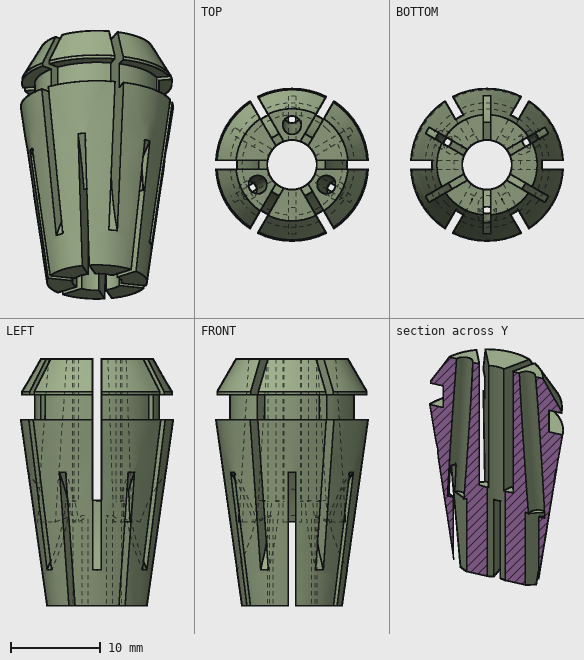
import cadquery as cq
import math

LENGTH = 27.5
SMALL_END_RADIUS = 5.58
SHOULDER_RADIUS = 8.5
SHOULDER_HEIGHT = 20.74
BORE_RADIUS = 2.75

GROOVE_RADIUS = 6.93
LIP_RADIUS = 8.35
LIP_BOTTOM = 23.48
LIP_TOP = 23.85
NOSE_RADIUS = 6.25

SLOTS_PER_END = 6
SLOT_PITCH = 360 / SLOTS_PER_END
SAW_RADIUS = 22.0
NOSE_SLOT_ROOT_RADIUS = 3.7
TAIL_SLOT_ROOT_RADIUS = 4.73
NOSE_SLOT_WIDTH = 1.0
NOSE_SLOT_OUTER_HEIGHT = 4.0
NOSE_SLOT_ROOT_HEIGHT = 11.77
TAIL_SLOT_WIDTH = 0.8
TAIL_SLOT_OUTER_HEIGHT = 14.88
TAIL_SLOT_ROOT_HEIGHT = 9.35

HOLE_COUNT = 3
FIRST_HOLE_ANGLE = 90
HOLE_RADIUS = 1.02
HOLE_TOP_OFFSET = 4.4
HOLE_BOTTOM_OFFSET = 5.7
HOLE_BOTTOM = 9.35

CLEARANCE = 1.38


def taper_radius(height):
    """Outer radius of the long taper at a given height."""
    return SMALL_END_RADIUS + (SHOULDER_RADIUS - SMALL_END_RADIUS) * height / SHOULDER_HEIGHT


def turned_body():
    outline = [
        (BORE_RADIUS, 0),
        (SMALL_END_RADIUS, 0),
        (SHOULDER_RADIUS, SHOULDER_HEIGHT),
        (GROOVE_RADIUS, SHOULDER_HEIGHT),
        (GROOVE_RADIUS, LIP_BOTTOM),
        (LIP_RADIUS, LIP_BOTTOM),
        (LIP_RADIUS, LIP_TOP),
        (NOSE_RADIUS, LENGTH),
        (BORE_RADIUS, LENGTH),
    ]
    return cq.Workplane("XZ").polyline(outline).close().revolve(360, (0, 0, 0), (0, 1, 0))


def saw_slot(width, outer_height, root_radius, root_height, open_height):
    """One slot along +X, from the axis outward, running to open_height.

    Its end is an arc of the saw's rim from the taper surface to the slot root,
    then a straight line towards the axis, square to that arc.
    """
    outer_radius = taper_radius(outer_height)
    run = outer_radius - root_radius
    rise = root_height - outer_height
    chord = math.hypot(run, rise)
    opening = math.copysign(1, open_height - root_height)

    centre_distance = math.sqrt(SAW_RADIUS**2 - (chord / 2) ** 2)
    centre_radius = (outer_radius + root_radius) / 2 + centre_distance * abs(rise) / chord
    centre_height = (outer_height + root_height) / 2 + opening * centre_distance * run / chord

    def rim_height(radius):
        return centre_height - opening * math.sqrt(SAW_RADIUS**2 - (centre_radius - radius) ** 2)

    end_slope = (centre_height - root_height) / (centre_radius - root_radius)
    axis_height = root_height - end_slope * root_radius
    reach = SHOULDER_RADIUS + CLEARANCE
    far_height = open_height + opening * CLEARANCE

    return (
        cq.Workplane("XZ")
        .moveTo(0, axis_height)
        .lineTo(root_radius, root_height)
        .threePointArc((outer_radius, outer_height), (reach, rim_height(reach)))
        .lineTo(reach, far_height)
        .lineTo(0, far_height)
        .close()
        .extrude(width / 2, both=True)
    )


def leaning_hole():
    """One round hole leaning towards +X on its way down, with a level floor."""
    lean = (HOLE_BOTTOM_OFFSET - HOLE_TOP_OFFSET) / (LENGTH - HOLE_BOTTOM)
    axis = cq.Vector(lean, 0, -1)
    mouth = cq.Vector(HOLE_TOP_OFFSET, 0, LENGTH)
    drill = cq.Workplane(
        cq.Solid.makeCylinder(
            HOLE_RADIUS,
            LENGTH + 2 * CLEARANCE,
            mouth - axis * CLEARANCE,
            axis,
        )
    )
    below_floor = cq.Workplane("XY", origin=(0, 0, HOLE_BOTTOM)).circle(LENGTH).extrude(-LENGTH)
    return drill.cut(below_floor)


def cut_around(body, cutter, count, start_angle):
    """Cut evenly spaced copies of a cutter around the Z axis."""
    for i in range(count):
        body = body.cut(cutter.rotate((0, 0, 0), (0, 0, 1), start_angle + i * 360 / count))
    return body


nose_slot = saw_slot(
    NOSE_SLOT_WIDTH,
    NOSE_SLOT_OUTER_HEIGHT,
    NOSE_SLOT_ROOT_RADIUS,
    NOSE_SLOT_ROOT_HEIGHT,
    LENGTH,
)
tail_slot = saw_slot(
    TAIL_SLOT_WIDTH,
    TAIL_SLOT_OUTER_HEIGHT,
    TAIL_SLOT_ROOT_RADIUS,
    TAIL_SLOT_ROOT_HEIGHT,
    0,
)

result = turned_body()
result = cut_around(result, nose_slot, SLOTS_PER_END, 0)
result = cut_around(result, tail_slot, SLOTS_PER_END, SLOT_PITCH / 2)
result = cut_around(result, leaning_hole(), HOLE_COUNT, FIRST_HOLE_ANGLE)